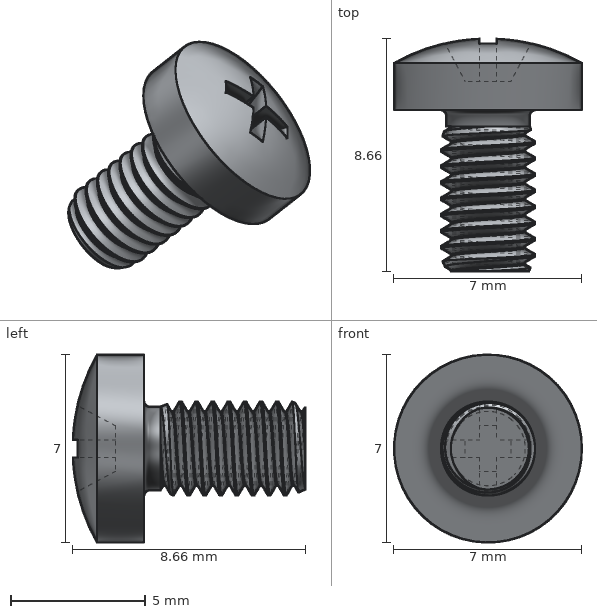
import cadquery as cq
import math


head_diameter = 7.0
head_radius = head_diameter / 2
head_side_height = 1.75
dome_height = 0.925
rim_fillet = 0.05

recess_slot_width = 0.65
recess_top_radius = 1.7
recess_bottom_radius = 0.85
recess_depth = 1.6
recess_clearance = 0.5

shank_length = 6.0
thread_diameter = 3.5
thread_radius = thread_diameter / 2
pitch = 0.6
neck_radius = 1.56
neck_length = pitch
neck_fillet = 0.2
runout_length = 0.5
tip_radius = 1.52
tip_taper_length = 0.5

flank_half_angle = math.radians(30)
crest_width = pitch / 8
root_fillet = pitch * math.sqrt(3) / 12
flank_meeting_radius = thread_radius - (pitch - crest_width) / 2 / math.tan(flank_half_angle)
root_center_radius = flank_meeting_radius + root_fillet / math.sin(flank_half_angle)
root_radius = root_center_radius - root_fillet
core_radius = root_radius + 0.004
ridge_base_gap = 0.01
ridge_sink = 0.02
ridge_turns = math.ceil(shank_length / pitch) + 1
core_seam_angle = 37

head_height = head_side_height + dome_height


def make_head():
    """Cylinder with a spherical dome and a lightly rounded lower rim."""
    dome_radius = (head_radius**2 + dome_height**2) / (2 * dome_height)
    half_chord = head_radius / 2
    dome_mid_z = head_height - dome_radius + math.sqrt(dome_radius**2 - half_chord**2)
    return (
        cq.Workplane("XZ")
        .lineTo(head_radius, 0)
        .lineTo(head_radius, head_side_height)
        .threePointArc((half_chord, dome_mid_z), (0, head_height))
        .close()
        .revolve(360, (0, 0), (0, 1))
        .faces("<Z")
        .edges()
        .fillet(rim_fillet)
    )


def make_recess():
    """Two crossed slots whose outer ends slope inward towards the floor."""
    floor_z = head_height - recess_depth
    end_slope = (recess_top_radius - recess_bottom_radius) / recess_depth
    opening_z = head_height + recess_clearance
    opening_radius = recess_top_radius + end_slope * recess_clearance
    slot = (
        cq.Workplane("XZ")
        .moveTo(-recess_bottom_radius, floor_z)
        .lineTo(recess_bottom_radius, floor_z)
        .lineTo(opening_radius, opening_z)
        .lineTo(-opening_radius, opening_z)
        .close()
        .extrude(recess_slot_width / 2, both=True)
    )
    return slot.union(slot.rotate((0, 0, 0), (0, 0, 1), 90))


def make_neck():
    """Plain neck that flares into the head underside through a fillet."""
    arc_offset = neck_fillet * (1 - math.sqrt(0.5))
    return (
        cq.Workplane("XZ")
        .lineTo(neck_radius + neck_fillet, 0)
        .threePointArc((neck_radius + arc_offset, -arc_offset), (neck_radius, -neck_fillet))
        .lineTo(neck_radius, -neck_length)
        .lineTo(0, -neck_length)
        .close()
        .revolve(360, (0, 0), (0, 1))
    )


def make_thread_envelope():
    """Outer limit of the thread, tapering down to the neck at one end and to the tip at the other."""
    return (
        cq.Workplane("XZ")
        .moveTo(0, -neck_length)
        .lineTo(neck_radius, -neck_length)
        .lineTo(thread_radius, -neck_length - runout_length)
        .lineTo(thread_radius, -shank_length + tip_taper_length)
        .lineTo(tip_radius, -shank_length)
        .lineTo(0, -shank_length)
        .close()
        .revolve(360, (0, 0), (0, 1))
    )


def make_thread():
    """Right-hand helical ridge on a core cylinder, trimmed to the tapered thread envelope."""
    start_z = -shank_length - pitch

    def root_arc_point(angle):
        """Radius and distance from the crest of a root arc point, by angle from the root bottom."""
        radius = root_center_radius - root_fillet * math.cos(angle)
        return radius, pitch / 2 - root_fillet * math.sin(angle)

    flank_angle = math.pi / 2 - flank_half_angle
    base_angle = math.asin(ridge_base_gap / root_fillet)
    flank_radius, flank_half = root_arc_point(flank_angle)
    arc_radius, arc_half = root_arc_point((flank_angle + base_angle) / 2)
    base_radius, base_half = root_arc_point(base_angle)
    crest_half = crest_width / 2
    path = cq.Wire.makeHelix(pitch, pitch * ridge_turns, root_radius, center=cq.Vector(0, 0, start_z))
    ridge = (
        cq.Workplane("XZ")
        .moveTo(base_radius - ridge_sink, start_z - base_half)
        .lineTo(base_radius, start_z - base_half)
        .threePointArc((arc_radius, start_z - arc_half), (flank_radius, start_z - flank_half))
        .lineTo(thread_radius, start_z - crest_half)
        .lineTo(thread_radius, start_z + crest_half)
        .lineTo(flank_radius, start_z + flank_half)
        .threePointArc((arc_radius, start_z + arc_half), (base_radius, start_z + base_half))
        .lineTo(base_radius - ridge_sink, start_z + base_half)
        .close()
        .sweep(path, isFrenet=True)
    )
    core = (
        cq.Workplane("XY")
        .circle(core_radius)
        .extrude(start_z)
        .rotate((0, 0, 0), (0, 0, 1), core_seam_angle)
    )
    return core.union(ridge).intersect(make_thread_envelope())


head = make_head().cut(make_recess())
screw = head.union(make_neck()).union(make_thread())
result = screw.rotate((0, 0, 0), (1, 0, 0), -90)